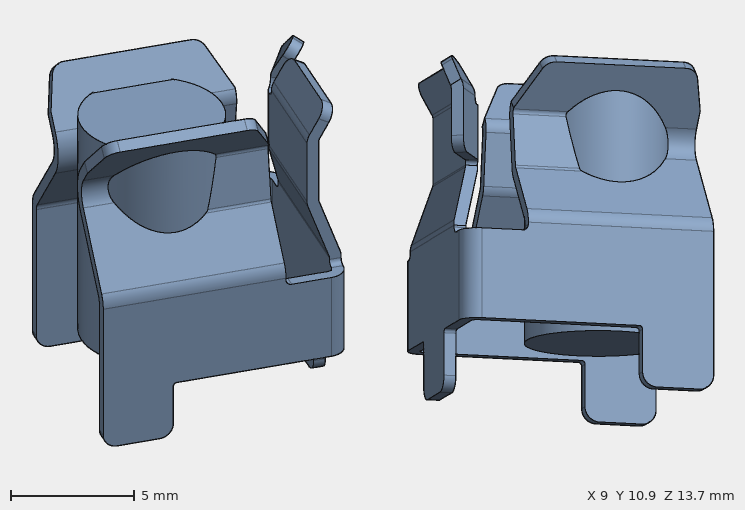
import cadquery as cq
import math

thickness = 0.5
half_sheet = thickness / 2
bend_radius = 0.25
corner_radius = 0.6
relief_radius = 0.25
root_radius = 0.15

pin_radius = 3.0
pin_height = 10.0

clip_width = 9.0
front_y = -3.59
back_y = 6.93
top_z = 11.15
wall_height = 3.7
bend_start_z = 4.03
tab_depth = 2.5
tab_width = 3.0

wing_rear_y = 4.23
wing_angle = 40.0
wing_root_radius = 0.42
throat_radius = 1.0
wing_length = 3.6
lip_length = 2.81
rear_wing_length = 2.55
chord_angle = 9.0
lip_front_taper = 1.97
lip_rear_taper = 2.24
lip_front_corner_y = -3.08
lip_rear_corner_y = 3.21

flap_right_x = 3.5
flap_left_x = -3.0
flap_angle = 20.0
flap_slant = 2.62
flare_angle = 30.0
flare_start_z = 9.57

ear_angle = 30.0
ear_bend_x = -1.32
ear_length = 2.39
ear_bottom_z = 7.02
ear_tip_width = 0.93
notch_radius = 0.3
notch_in_ear = 0.41

trim_reach = 2 * clip_width
shortest_line = 0.001

half_width = clip_width / 2
corner_outer_radius = bend_radius + thickness
bend_mid_radius = bend_radius + half_sheet
side_mid_x = half_sheet - half_width
back_mid_y = back_y - half_sheet
corner_y = back_y - corner_outer_radius
corner_x = half_width - corner_outer_radius


def sine(angle):
    return math.sin(math.radians(angle))


def cosine(angle):
    return math.cos(math.radians(angle))


def tangent(angle):
    return math.tan(math.radians(angle))


def sheet_section(plane, start, heading, legs):
    """Closed edge-on section of a bent sheet.

    The sheet centre line leaves `start` at `heading` degrees. Each leg is
    (flat length, turn after it in degrees, inside radius of that turn).
    """
    x, y = start
    runs = []
    for length, turn, radius in legs:
        if length:
            flat_start = (x, y, heading)
            x += length * cosine(heading)
            y += length * sine(heading)
            runs.append([flat_start, (x, y, heading)])
        if turn:
            side = math.copysign(1, turn)
            reach = side * (radius + half_sheet)
            centre_x = x - reach * sine(heading)
            centre_y = y + reach * cosine(heading)
            arc = []
            for share in (0, 0.5, 1):
                angle = heading + share * turn
                arc.append((centre_x + reach * sine(angle), centre_y - reach * cosine(angle), angle))
            runs.append(arc)
            x, y, heading = arc[-1]

    def on_face(station, offset):
        px, py, angle = station
        return (px - offset * sine(angle), py + offset * cosine(angle))

    def follow(sketch, run, offset):
        points = [on_face(station, offset) for station in run]
        if len(points) == 2:
            return sketch.lineTo(*points[1])
        return sketch.threePointArc(points[1], points[2])

    sketch = plane.moveTo(*on_face(runs[0][0], -half_sheet))
    for run in runs:
        sketch = follow(sketch, run, -half_sheet)
    sketch = sketch.lineTo(*on_face(runs[-1][-1], half_sheet))
    for run in reversed(runs):
        sketch = follow(sketch, run[::-1], half_sheet)
    return sketch.close()


def rounded_outline(plane, corners):
    """Closed polygon; each corner is (x, y, radius), radius 0 stays sharp."""
    sketch = None
    last = None
    count = len(corners)
    for i, (x, y, radius) in enumerate(corners):
        corner = cq.Vector(x, y)
        to_last = (cq.Vector(*corners[i - 1][:2]) - corner).normalized()
        to_next = (cq.Vector(*corners[(i + 1) % count][:2]) - corner).normalized()
        half_angle = to_last.getAngle(to_next) / 2
        setback = radius / math.tan(half_angle)
        begin = corner + to_last * setback
        if sketch is None:
            sketch = plane.moveTo(begin.x, begin.y)
        elif (begin - last).Length > shortest_line:
            sketch = sketch.lineTo(begin.x, begin.y)
        last = begin
        if radius:
            middle = corner + (to_last + to_next).normalized() * (radius / math.sin(half_angle) - radius)
            end = corner + to_next * setback
            sketch = sketch.threePointArc((middle.x, middle.y), (end.x, end.y))
            last = end
    return sketch.close()


def side_panel():
    """Flat left wall with its solder tab, up to the foot of the wing."""
    tab_rear_y = front_y + tab_width
    return rounded_outline(
        cq.Workplane("YZ", origin=(-half_width, 0, 0)),
        [
            (front_y, -tab_depth, corner_radius),
            (tab_rear_y, -tab_depth, corner_radius),
            (tab_rear_y, 0, root_radius),
            (corner_y, 0, 0),
            (corner_y, wall_height, 0),
            (wing_rear_y, wall_height, relief_radius),
            (wing_rear_y, bend_start_z, 0),
            (front_y, bend_start_z, 0),
        ],
    ).extrude(thickness)


def wing():
    """Left wing: round throat in front of the pin axis, chord behind it."""
    turn = 2 * wing_angle
    throat_mid_radius = throat_radius + half_sheet
    to_apex = throat_mid_radius * tangent(wing_angle)
    lower_bend = wing_angle - chord_angle
    upper_bend = wing_angle + chord_angle
    lower_setback = bend_mid_radius * tangent(lower_bend / 2)
    upper_setback = bend_mid_radius * tangent(upper_bend / 2)
    lower_side = wing_length + to_apex - rear_wing_length - lower_setback
    chord = lower_side * sine(turn) / sine(upper_bend)
    upper_side = lower_side * sine(lower_bend) / sine(upper_bend)

    foot = (0, -wing_angle, wing_root_radius)
    round_legs = [foot, (wing_length, turn, throat_radius), (lip_length, 0, 0)]
    chord_legs = [
        foot,
        (rear_wing_length, lower_bend, bend_radius),
        (chord - lower_setback - upper_setback, upper_bend, bend_radius),
        (lip_length + to_apex - upper_side - upper_setback, 0, 0),
    ]
    start = (side_mid_x, bend_start_z)
    front = sheet_section(cq.Workplane("XZ"), start, 90, round_legs).extrude(-front_y)
    rear = sheet_section(cq.Workplane("XZ"), start, 90, chord_legs).extrude(-wing_rear_y)
    return front.union(rear).intersect(wing_trim())


def wing_trim():
    """Prism square to the lip that tapers and rounds its two corners."""
    foot_mid_radius = wing_root_radius + half_sheet
    throat_mid_radius = throat_radius + half_sheet
    end_x = (
        side_mid_x
        + foot_mid_radius * (1 - cosine(wing_angle))
        + (wing_length - lip_length) * sine(wing_angle)
    )
    end_z = (
        bend_start_z
        + (foot_mid_radius + 2 * throat_mid_radius) * sine(wing_angle)
        + (wing_length + lip_length) * cosine(wing_angle)
    )
    lip_plane = cq.Plane(
        origin=(end_x, 0, end_z), xDir=(0, 1, 0), normal=(cosine(wing_angle), 0, sine(wing_angle))
    )
    return rounded_outline(
        cq.Workplane(lip_plane),
        [
            (front_y, -trim_reach, 0),
            (wing_rear_y, -trim_reach, 0),
            (wing_rear_y, -lip_rear_taper, 0),
            (lip_rear_corner_y, 0, corner_radius),
            (lip_front_corner_y, 0, corner_radius),
            (front_y, -lip_front_taper, 0),
        ],
    ).extrude(trim_reach, both=True)


def wall_corner():
    """Rounded left rear corner between side wall and back wall."""
    return sheet_section(
        cq.Workplane("XY"), (side_mid_x, corner_y), 90, [(0, -90, bend_radius)]
    ).extrude(wall_height)


def back_panel():
    """Flat back wall with its solder tab, up to the foot of the flap."""
    tab_x = tab_width / 2
    return rounded_outline(
        cq.Workplane("XZ", origin=(0, back_y, 0)),
        [
            (-corner_x, 0, 0),
            (-tab_x, 0, root_radius),
            (-tab_x, -tab_depth, corner_radius),
            (tab_x, -tab_depth, corner_radius),
            (tab_x, 0, root_radius),
            (corner_x, 0, 0),
            (corner_x, wall_height, 0),
            (flap_right_x, wall_height, relief_radius),
            (flap_right_x, bend_start_z, 0),
            (flap_left_x, bend_start_z, 0),
            (flap_left_x, wall_height, relief_radius),
            (-corner_x, wall_height, 0),
        ],
    ).extrude(thickness)


step_top_z = bend_start_z + 2 * bend_mid_radius * sine(flap_angle) + flap_slant * cosine(flap_angle)
flap_mid_y = back_mid_y - 2 * bend_mid_radius * (1 - cosine(flap_angle)) - flap_slant * sine(flap_angle)
notch_bottom_z = flare_start_z - notch_radius
flare_bend_height = bend_mid_radius * sine(flare_angle)
flare_length = (
    top_z - half_sheet * sine(flare_angle) - flare_start_z - flare_bend_height
) / cosine(flare_angle)
flare_normal = cq.Vector(0, -cosine(flare_angle), sine(flare_angle))


def flap():
    """Stepped flap with its flared lip, left edge sloping up to the ear."""
    flap_width = flap_right_x - flap_left_x
    strip = sheet_section(
        cq.Workplane("YZ", origin=(flap_left_x, 0, 0)),
        (back_mid_y, bend_start_z),
        90,
        [
            (0, flap_angle, bend_radius),
            (flap_slant, -flap_angle, bend_radius),
            (flare_start_z - step_top_z, -flare_angle, bend_radius),
            (flare_length, 0, 0),
        ],
    ).extrude(flap_width)
    lip_left_x = ear_bend_x + notch_radius
    outline = rounded_outline(
        cq.Workplane("XZ"),
        [
            (flap_left_x, bend_start_z, 0),
            (flap_right_x, bend_start_z, 0),
            (flap_right_x, trim_reach, 0),
            (lip_left_x, trim_reach, 0),
            (lip_left_x, notch_bottom_z, notch_radius),
            (ear_bend_x, notch_bottom_z, 0),
            (ear_bend_x, step_top_z, 0),
        ],
    ).extrude(-trim_reach)
    lip_corners = cq.selectors.ParallelDirSelector(flare_normal)
    return strip.intersect(outline).edges(lip_corners).fillet(corner_radius)


def ear_bend():
    """Upright bend joining the flap and the ear, rounded into the flap edge below."""
    sector = sheet_section(
        cq.Workplane("XY", origin=(0, 0, step_top_z)),
        (ear_bend_x, flap_mid_y),
        180,
        [(0, -ear_angle, bend_radius)],
    ).extrude(notch_bottom_z - step_top_z)
    outline = rounded_outline(
        cq.Workplane("XZ"),
        [
            (trim_reach, step_top_z, 0),
            (ear_bend_x, step_top_z, 0),
            (ear_bend_x, ear_bottom_z, ear_bottom_z - step_top_z),
            (-trim_reach, ear_bottom_z, 0),
            (-trim_reach, notch_bottom_z, 0),
            (trim_reach, notch_bottom_z, 0),
        ],
    ).extrude(-trim_reach)
    return sector.intersect(outline)


def ear():
    """Ear with its flared, tapered lip, swung backward about the upright bend."""
    tip_x = ear_bend_x - ear_length
    notch_x = ear_bend_x - notch_in_ear
    plate = rounded_outline(
        cq.Workplane("XZ", origin=(0, flap_mid_y + half_sheet, 0)),
        [
            (ear_bend_x, ear_bottom_z, 0),
            (tip_x, ear_bottom_z, corner_radius),
            (tip_x, flare_start_z, 0),
            (notch_x, flare_start_z, 0),
            (notch_x, notch_bottom_z, notch_radius),
            (ear_bend_x, notch_bottom_z, 0),
        ],
    ).extrude(thickness)
    lip = sheet_section(
        cq.Workplane("YZ", origin=(tip_x, 0, 0)),
        (flap_mid_y, flare_start_z),
        90,
        [(0, -flare_angle, bend_radius), (flare_length, 0, 0)],
    ).extrude(notch_x - tip_x)
    flare_start_y = flap_mid_y + bend_mid_radius * (1 - cosine(flare_angle))
    lip_plane = cq.Plane(
        origin=(0, flare_start_y, flare_start_z + flare_bend_height), xDir=(1, 0, 0), normal=flare_normal
    )
    lip_outline = rounded_outline(
        cq.Workplane(lip_plane),
        [
            (notch_x, -trim_reach, 0),
            (notch_x, flare_length, corner_radius),
            (notch_x - ear_tip_width, flare_length, corner_radius),
            (tip_x, 0, 0),
            (tip_x, -trim_reach, 0),
        ],
    ).extrude(trim_reach, both=True)
    axis_y = flap_mid_y + bend_mid_radius
    straight = plate.union(lip.intersect(lip_outline))
    return straight.rotate((ear_bend_x, axis_y, 0), (ear_bend_x, axis_y, 1), -ear_angle)


def make_pin():
    return cq.Workplane("XY").circle(pin_radius).extrude(pin_height)


def make_clip(pin):
    """Spring clip bent from one sheet, hollowed where the pin passes its wings."""
    left_side = side_panel().union(wing()).union(wall_corner())
    right_side = left_side.mirror("YZ")
    back = back_panel().union(flap()).union(ear_bend()).union(ear())
    return left_side.union(back).union(right_side).cut(pin)


pin = make_pin()
clip = make_clip(pin)

result = cq.Compound.makeCompound([clip.solids().val(), pin.val()])